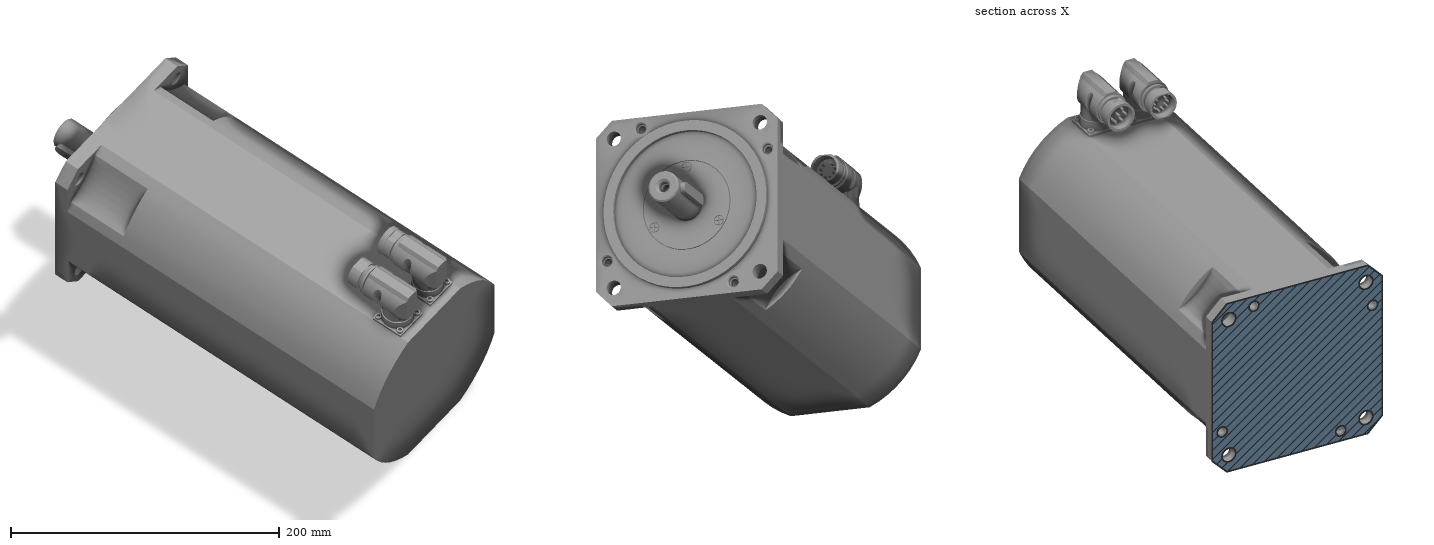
import cadquery as cq
import math


total_length = 353.0
total_height = 185.5
frame_width = 145.0
half_frame = frame_width / 2
flange_front = 50.0
flange_thickness = 11.5
flange_back = flange_front + flange_thickness
flange_chamfer = 12.7
body_diameter = 158.0

recess_length = 50.0
recess_edge_near = 39.5
recess_edge_far = math.sqrt((body_diameter / 2) ** 2 - recess_edge_near ** 2)
recess_floor_radius = 51.5

mount_hole_spacing = 116.5
mount_hole_diameter = 11.3
tapped_circle_radius = 73.8
tapped_first_angle = 30
tapped_mouth_diameter = 10.0
tapped_thread_diameter = 8.0
tapped_drill_diameter = 6.0
tapped_depth = 7.0

pilot_diameter = 130.0
pilot_height = 4.0
pilot_face = flange_front - pilot_height
pilot_bore_diameter = 114.5
cover_face = flange_front
cover_diameter = 70.0
cover_groove_width = 0.7
cover_groove_depth = 1.0
cover_screw_count = 3
cover_screw_radius = 29.5
cover_screw_diameter = 8.0
screw_groove_width = 0.7
screw_groove_depth = 0.7
screw_slot_width = 0.7
screw_slot_length = 6.7

shaft_diameter = 24.0
shaft_chamfer = 1.0
key_start = 5.0
key_length = 40.0
key_width = 8.0
key_bottom = 6.0
key_top = 15.5
centre_mouth_diameter = 11.5
centre_thread_diameter = 8.0
centre_drill_diameter = 6.5
centre_hole_depth = 14.0

connector_offset = 18.0
connector_axis_height = 99.0
housing_front = 309.2
housing_back = 346.0
housing_radius = 12.7
housing_chamfer = 6.7
ridge_top = total_height - half_frame
ridge_top_width = 7.8
ridge_base_width = 12.0
ridge_base = connector_axis_height + math.sqrt(housing_radius ** 2 - (ridge_base_width / 2) ** 2)

stalk_centre = 332.5
base_width = 26.5
base_thickness = 2.0
collar_radius = 12.5
collar_top = 82.2
stalk_radius = 11.5
base_screw_offset = 10.2
notch_radius = 3.5
housing_notch_offset = 12.5
base_screw_diameter = 5.0
base_screw_height = 2.0
base_screw_socket_diameter = 3.0
base_screw_centres = [
    (stalk_centre + side_x * base_screw_offset, side_y * base_screw_offset)
    for side_x in (-1, 1)
    for side_y in (-1, 1)
]

socket_front = 293.7
socket_radius = 11.5
socket_neck_radius = 10.0
socket_band_radius = 11.3
socket_flat_height = 10.2
socket_bore_radius = 9.5
socket_bore_depth = 8.5
pin_length = 5.5
pin_circle_radius = 5.5
power_pin_radius = 1.0
power_pin_angles = (60, 0, -60, -120, -155)
signal_pin_radius = 0.78
signal_pin_pitch = 40
signal_pin_angles = [90 + signal_pin_pitch * i for i in range(1, 9)]


def disc(x_start, x_end, radius, y=0.0, z=0.0):
    """Cylinder along X between two X positions."""
    return cq.Workplane("YZ", origin=(x_start, y, z)).circle(radius).extrude(x_end - x_start)


def tube(x_start, x_end, outer_radius, inner_radius, y=0.0, z=0.0):
    """Ring along X between two X positions."""
    return disc(x_start, x_end, outer_radius, y, z).cut(disc(x_start, x_end, inner_radius, y, z))


def post(x, y, z_start, z_end, radius):
    """Vertical cylinder."""
    return cq.Workplane("XY", origin=(x, y, z_start)).circle(radius).extrude(z_end - z_start)


def block(x_start, x_end, width_y, z_start, z_end):
    """Box centred on Y = 0, between the given X and Z limits."""
    size = (x_end - x_start, width_y, z_end - z_start)
    return cq.Workplane("XY").box(*size).translate(
        ((x_start + x_end) / 2, 0, (z_start + z_end) / 2)
    )


def tapped_hole(x_face, mouth_diameter, thread_diameter, drill_diameter, depth, y=0.0, z=0.0):
    """Cutter along +X: countersunk mouth, thread over half the depth, then a pointed drill hole."""
    mouth_radius = mouth_diameter / 2
    thread_radius = thread_diameter / 2
    drill_radius = drill_diameter / 2
    mouth_depth = mouth_radius - thread_radius
    return (
        cq.Workplane("XY")
        .moveTo(0, 0)
        .lineTo(0, mouth_radius)
        .lineTo(mouth_depth, thread_radius)
        .lineTo(depth / 2, thread_radius)
        .lineTo(depth / 2, drill_radius)
        .lineTo(depth, drill_radius)
        .lineTo(depth + drill_radius, 0)
        .close()
        .revolve(360, (0, 0, 0), (1, 0, 0))
        .translate((x_face, y, z))
    )


def polar(radius, angle):
    """Y and Z of a point at an angle measured from -Y towards +Z."""
    turn = math.radians(angle)
    return -radius * math.cos(turn), radius * math.sin(turn)


def make_body():
    """Round body trimmed flat on four sides, with a recess behind each flange corner."""
    body = disc(flange_back, total_length, body_diameter / 2)
    body = body.intersect(block(flange_back, total_length, frame_width, -half_frame, half_frame))
    half_chord = (recess_edge_far - recess_edge_near) / math.sqrt(2)
    chord_distance = (recess_edge_far + recess_edge_near) / math.sqrt(2)
    centre_distance = chord_distance + math.sqrt(recess_floor_radius ** 2 - half_chord ** 2)
    for angle in (45, 135, 225, 315):
        y, z = polar(centre_distance, angle)
        body = body.cut(disc(flange_back, flange_back + recess_length, recess_floor_radius, y, z))
    return body


def make_flange():
    """Square flange with chamfered corners, mounting holes and tapped holes."""
    flange = block(flange_front, flange_back, frame_width, -half_frame, half_frame)
    flange = flange.edges("|X").chamfer(flange_chamfer)
    holes = (
        cq.Workplane("YZ", origin=(flange_front, 0, 0))
        .rect(mount_hole_spacing, mount_hole_spacing, forConstruction=True)
        .vertices()
        .circle(mount_hole_diameter / 2)
        .extrude(flange_thickness)
    )
    flange = flange.cut(holes)
    for quarter in range(4):
        y, z = polar(tapped_circle_radius, tapped_first_angle + 90 * quarter)
        hole = tapped_hole(
            flange_front,
            tapped_mouth_diameter,
            tapped_thread_diameter,
            tapped_drill_diameter,
            tapped_depth,
            y,
            z,
        )
        flange = flange.cut(hole)
    return flange


def make_pilot():
    """Raised pilot ring around the bearing cover."""
    return tube(pilot_face, flange_front, pilot_diameter / 2, pilot_bore_diameter / 2)


def cut_cover_details(motor):
    """Grooves around the bearing cover and the shaft, and the cover's flush cross-head screws."""
    cover_radius = cover_diameter / 2
    groove_bottom = cover_face + cover_groove_depth
    motor = motor.cut(tube(cover_face, groove_bottom, cover_radius, cover_radius - cover_groove_width))
    shaft_radius = shaft_diameter / 2
    motor = motor.cut(tube(cover_face, groove_bottom, shaft_radius + cover_groove_width, shaft_radius))
    screw_radius = cover_screw_diameter / 2
    screw_bottom = cover_face + screw_groove_depth
    for i in range(cover_screw_count):
        y, z = polar(cover_screw_radius, 90 + i * 360 / cover_screw_count)
        ring = tube(cover_face, screw_bottom, screw_radius, screw_radius - screw_groove_width, y, z)
        cross = (
            cq.Workplane("YZ", origin=(cover_face, y, z))
            .rect(screw_slot_length, screw_slot_width)
            .extrude(screw_groove_depth)
            .union(
                cq.Workplane("YZ", origin=(cover_face, y, z))
                .rect(screw_slot_width, screw_slot_length)
                .extrude(screw_groove_depth)
            )
        )
        motor = motor.cut(ring).cut(cross)
    return motor


def make_shaft():
    """Shaft with a chamfered tip, a centre hole and a round-ended key on the -Y side."""
    shaft = disc(0, flange_front, shaft_diameter / 2).faces("<X").chamfer(shaft_chamfer)
    shaft = shaft.cut(
        tapped_hole(
            0, centre_mouth_diameter, centre_thread_diameter, centre_drill_diameter, centre_hole_depth
        )
    )
    key = (
        cq.Workplane("XZ", origin=(key_start + key_length / 2, -key_bottom, 0))
        .slot2D(key_length, key_width)
        .extrude(key_top - key_bottom)
    )
    return shaft.union(key)


def make_stalk():
    """Base plate with corner screws, collar and notched stalk, standing on the body at Y = 0."""
    base_top = half_frame + base_thickness
    half_base = base_width / 2
    screw_top = base_top + base_screw_height
    stalk = post(stalk_centre, 0, collar_top, connector_axis_height, stalk_radius)
    for x, y in base_screw_centres:
        stalk = stalk.cut(post(x, y, collar_top, connector_axis_height, notch_radius))
    stalk = stalk.union(post(stalk_centre, 0, half_frame, collar_top, collar_radius))
    stalk = stalk.union(
        block(stalk_centre - half_base, stalk_centre + half_base, base_width, half_frame, base_top)
    )
    for x, y in base_screw_centres:
        stalk = stalk.union(post(x, y, half_frame, screw_top, base_screw_diameter / 2))
        stalk = stalk.cut(post(x, y, base_top, screw_top, base_screw_socket_diameter / 2))
    return stalk


def make_housing():
    """Horizontal housing with a top ridge, chamfered back corners and two side notches, at Y = 0."""
    housing = (
        cq.Workplane("YZ", origin=(housing_front, 0, 0))
        .moveTo(ridge_base_width / 2, ridge_base)
        .lineTo(ridge_top_width / 2, ridge_top)
        .lineTo(-ridge_top_width / 2, ridge_top)
        .lineTo(-ridge_base_width / 2, ridge_base)
        .threePointArc(
            (0, connector_axis_height - housing_radius), (ridge_base_width / 2, ridge_base)
        )
        .close()
        .extrude(housing_back - housing_front)
    )
    envelope = block(
        housing_front,
        housing_back,
        2 * housing_radius,
        connector_axis_height - housing_radius,
        ridge_top,
    )
    housing = housing.intersect(envelope.edges("|Z and >X").chamfer(housing_chamfer))
    for side in (-1, 1):
        x = stalk_centre - base_screw_offset
        y = side * housing_notch_offset
        housing = housing.cut(post(x, y, collar_top, ridge_top, notch_radius))
    return housing


def make_socket(rings, flats_start, flats_end):
    """Round plug socket at Y = 0: rings on a neck, and a band with flats above and below."""
    height = connector_axis_height
    socket = disc(socket_front, housing_front, socket_neck_radius, 0, height)
    for ring_start, ring_end in rings:
        socket = socket.union(disc(ring_start, ring_end, socket_radius, 0, height))
    flat_band = disc(flats_start, flats_end, socket_band_radius, 0, height)
    flat_limits = block(
        flats_start,
        flats_end,
        2 * socket_radius,
        height - socket_flat_height,
        height + socket_flat_height,
    )
    socket = socket.union(flat_band.intersect(flat_limits))
    bore_bottom = socket_front + socket_bore_depth
    return socket.cut(disc(socket_front, bore_bottom, socket_bore_radius, 0, height))


def make_pins(centres, radius):
    """Contact pins rising from the bottom of the socket bore."""
    bore_bottom = socket_front + socket_bore_depth
    pins = cq.Workplane("YZ", origin=(bore_bottom - pin_length, 0, connector_axis_height))
    return pins.pushPoints(centres).circle(radius).extrude(2 * pin_length)


power_flats = (298.3, 304.5)
power_rings = [(socket_front, power_flats[0]), (306.0, housing_front)]
power_pins = [(0.0, 0.0)] + [polar(pin_circle_radius, angle) for angle in power_pin_angles]

signal_flats = (socket_front, 302.5)
signal_rings = [(305.7, 307.5)]
signal_pins = [polar(pin_circle_radius, angle) for angle in signal_pin_angles]

connector_body = make_stalk().union(make_housing())
power_connector = (
    connector_body
    .union(make_socket(power_rings, *power_flats))
    .union(make_pins(power_pins, power_pin_radius))
    .translate((0, connector_offset, 0))
)
signal_connector = (
    connector_body
    .union(make_socket(signal_rings, *signal_flats))
    .union(make_pins(signal_pins, signal_pin_radius))
    .translate((0, -connector_offset, 0))
)

motor = make_body().union(make_flange()).union(make_pilot())
motor = cut_cover_details(motor)
motor = motor.union(make_shaft())
result = motor.union(power_connector).union(signal_connector)